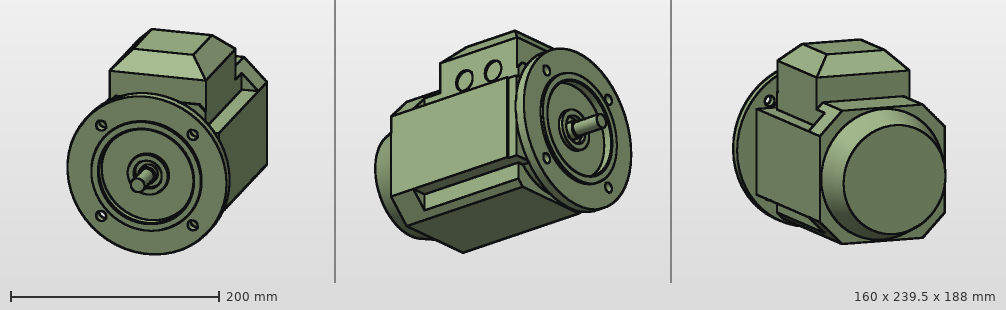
import cadquery as cq


flange_radius = 80.0
flange_thickness = 10.3
spigot_radius = 55.0
spigot_height = 2.9
bolt_spacing = 92.0
bolt_hole_diameter = 10.0

recess_radius = 47.5
recess_mouth_radius = 48.4
recess_lip = 0.7
recess_floor_y = 6.5
hub_radius = 20.0
hub_face_y = 2.5
bore_radius = 14.1
bore_floor_y = 7.7
shoulder_radius = 8.6
shaft_radius = 7.0
shaft_length = 30.0

bell_small_radius = 58.5
bell_large_radius = 59.2
bell_cone_end_y = 25.5

housing_half = 65.1
housing_flat_half = 42.0
housing_front_y = 33.5
housing_back_y = 179.5
notch_half_gap = 48.4
notch_back_y = 151.4
end_block_front_y = 23.5
end_block_setback = 2.5

cowl_large_radius = 63.7
cowl_small_radius = 53.2
cowl_back_y = 209.5

box_width = 2 * notch_half_gap
box_front_y = 35.0
box_length = 96.8
cover_bevel = 18.2
box_top_z = 108.0
entry_diameter = 20.8
entry_depth = 2.0
entry_z = 63.2
entry_spacing = 36.0
entry_middle_y = box_front_y + box_length / 2


def box_between(x0, x1, y0, y1, z0, z1):
    """Box spanning the given limits."""
    return cq.Workplane("XY").box(x1 - x0, y1 - y0, z1 - z0, centered=False).translate((x0, y0, z0))


def disc(radius, y0, y1):
    """Cylinder about the motor axis from y0 to y1."""
    return cq.Workplane("XZ", origin=(0, y0, 0)).circle(radius).extrude(y0 - y1)


def turned(profile):
    """Revolve (radius, y) points about the motor axis."""
    return cq.Workplane("XY").polyline(profile).close().revolve(360, (0, 0, 0), (0, 1, 0))


def make_housing():
    bevel = housing_half - housing_flat_half
    side = 2 * housing_half
    housing = box_between(
        -housing_half, housing_half, housing_front_y, housing_back_y, -housing_half, housing_half
    ).edges("|Y").chamfer(bevel)
    for x in (-side - notch_half_gap, notch_half_gap):
        for z in (-side - housing_flat_half, housing_flat_half):
            housing = housing.cut(
                box_between(x, x + side, housing_front_y, notch_back_y, z, z + side)
            )
    end_block = box_between(
        end_block_setback - housing_half, housing_half,
        end_block_front_y, housing_front_y,
        -housing_flat_half, housing_flat_half,
    )
    return housing.union(end_block)


def make_turned_bodies():
    """End bell, fan cowl, flange and spigot."""
    bell = turned([
        (0, flange_thickness),
        (bell_small_radius, flange_thickness),
        (bell_large_radius, bell_cone_end_y),
        (bell_large_radius, housing_front_y),
        (0, housing_front_y),
    ])
    cowl = turned([
        (0, housing_back_y),
        (cowl_large_radius, housing_back_y),
        (cowl_small_radius, cowl_back_y),
        (0, cowl_back_y),
    ])
    flange = disc(flange_radius, 0, flange_thickness)
    spigot = disc(spigot_radius, -spigot_height, 0)
    return bell, cowl, flange, spigot


def make_terminal_box():
    return box_between(
        -box_width / 2, box_width / 2,
        box_front_y, box_front_y + box_length,
        0, box_top_z,
    ).faces(">Z").edges().chamfer(cover_bevel)


def make_cable_entries():
    """Shallow round recesses in the -X side of the terminal box."""
    half_spacing = entry_spacing / 2
    return (
        cq.Workplane("YZ", origin=(-box_width / 2, entry_middle_y, entry_z))
        .pushPoints([(-half_spacing, 0), (half_spacing, 0)])
        .circle(entry_diameter / 2)
        .extrude(entry_depth)
    )


def make_recess():
    return turned([
        (0, -spigot_height),
        (recess_mouth_radius, -spigot_height),
        (recess_radius, recess_lip - spigot_height),
        (recess_radius, recess_floor_y),
        (0, recess_floor_y),
    ])


def make_bolt_holes():
    return (
        cq.Workplane("XZ")
        .rect(bolt_spacing, bolt_spacing, forConstruction=True)
        .vertices()
        .circle(bolt_hole_diameter / 2)
        .extrude(-flange_thickness)
    )


result = make_housing().union(make_terminal_box())
for body in make_turned_bodies():
    result = result.union(body)

result = (
    result
    .cut(make_cable_entries())
    .cut(make_recess())
    .cut(make_bolt_holes())
    .union(disc(hub_radius, hub_face_y, recess_floor_y))
    .cut(disc(bore_radius, hub_face_y, bore_floor_y))
    .union(disc(shoulder_radius, 0, bore_floor_y))
    .union(disc(shaft_radius, -shaft_length, bore_floor_y))
)